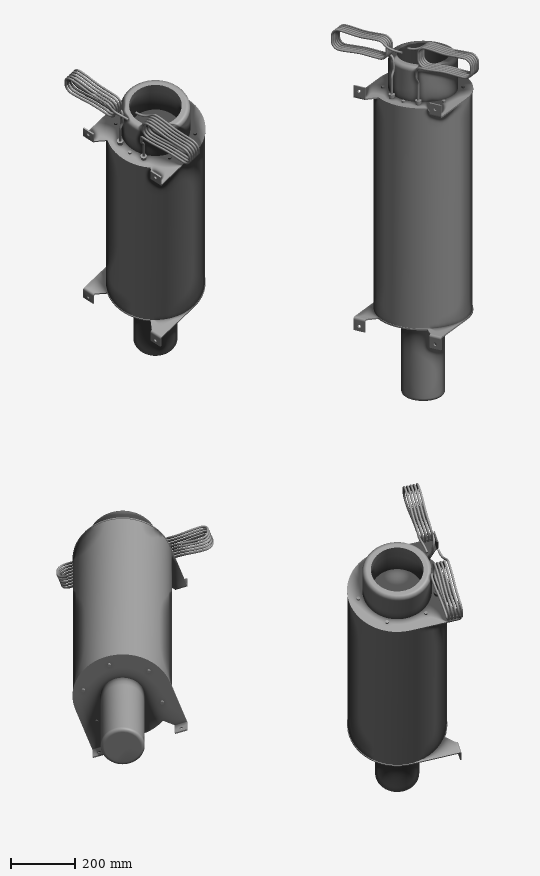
import cadquery as cq
import math

TOTAL_HEIGHT = 1253.0

SHELL_DIAMETER = 310.0
SHELL_BOTTOM = 291.0
SHELL_TOP = 1041.0
TAIL_DIAMETER = 138.0
TAIL_FILLET = 11.0
COLLAR_DIAMETER = 218.0
COLLAR_BORE = 164.0
COLLAR_TOP = 1163.0
COLLAR_FILLET = 14.0

PLATE_WIDTH = 313.0
PLATE_THICKNESS = 5.0
TAB_WIDTH = 41.0
TAB_HEIGHT = 44.0
TAB_FRONT = -165.0
TAB_HOLE = 11.0
TAB_HOLE_HEIGHT = 28.0
BEND_RADIUS = 8.0

SCREW_DIAMETER = 11.0
SCREW_HEIGHT = 6.0
SCREW_CIRCLE_DIAMETER = 251.0
SCREW_COUNT = 6

GLAND_DIAMETER = 20.0
GLAND_NECK = 18.0
GLAND_HEIGHT = 14.0
GLAND_HEAD = 8.0
GLAND_X = 48.0
GLAND_Y = -115.0

CABLE_DIAMETER = 8.0
COIL_END_X = 251.0
COIL_INNER_X = 54.0
COIL_HEIGHT = 66.0
COIL_RADIUS = 25.0
COIL_BOW = 4.0
COIL_PITCH = 10.7
COIL_START_Y = -93.0
COIL_FULL_TURNS = 4
JOG_BOTTOM = 1113.0
JOG_TOP = 1145.0
JOG_REACH = 13.0
SAG_DEPTH = 30.0
SHOULDER_X = 55.0
SHOULDER_DEPTH = 11.0
SAG_Y = -134.0

plate_top = SHELL_TOP + PLATE_THICKNESS
gland_top = plate_top + GLAND_HEIGHT


def cylinder(diameter, bottom, top):
    return cq.Workplane("XY").workplane(offset=bottom).circle(diameter / 2).extrude(top - bottom)


def mounting_tab():
    """Right-hand tab, bent up from the front edge of the upper plate and drilled."""
    bend_y = TAB_FRONT + BEND_RADIUS
    inner_radius = BEND_RADIUS - PLATE_THICKNESS
    bend_z = SHELL_TOP + BEND_RADIUS
    tab_top = SHELL_TOP + TAB_HEIGHT
    diagonal = math.sqrt(0.5)
    tab = (
        cq.Workplane("YZ", origin=(PLATE_WIDTH / 2 - TAB_WIDTH, 0, 0))
        .moveTo(bend_y, SHELL_TOP)
        .threePointArc(
            (bend_y - BEND_RADIUS * diagonal, bend_z - BEND_RADIUS * diagonal),
            (TAB_FRONT, bend_z),
        )
        .lineTo(TAB_FRONT, tab_top)
        .lineTo(TAB_FRONT + PLATE_THICKNESS, tab_top)
        .lineTo(TAB_FRONT + PLATE_THICKNESS, bend_z)
        .threePointArc(
            (bend_y - inner_radius * diagonal, bend_z - inner_radius * diagonal),
            (bend_y, plate_top),
        )
        .close()
        .extrude(TAB_WIDTH)
    )
    hole = (
        cq.Workplane("XZ", origin=((PLATE_WIDTH - TAB_WIDTH) / 2, 0, SHELL_TOP + TAB_HOLE_HEIGHT))
        .circle(TAB_HOLE / 2)
        .extrude(-TAB_FRONT)
    )
    return tab.cut(hole)


def plate_wing():
    """Flat right-hand part of the upper plate: a straight side and a 45 degree front edge."""
    side_x = PLATE_WIDTH / 2
    bend_y = TAB_FRONT + BEND_RADIUS
    tab_inner_x = side_x - TAB_WIDTH
    return (
        cq.Workplane("XY", origin=(0, 0, SHELL_TOP))
        .moveTo(0, 0)
        .lineTo(side_x, 0)
        .lineTo(side_x, bend_y)
        .lineTo(tab_inner_x, bend_y)
        .lineTo(0, bend_y + tab_inner_x)
        .close()
        .extrude(PLATE_THICKNESS)
    )


def upper_plate():
    """Round end plate with two mounting tabs and a ring of screw heads."""
    wing = plate_wing().union(mounting_tab())
    plate = cylinder(PLATE_WIDTH, SHELL_TOP, plate_top).union(wing).union(wing.mirror("YZ"))
    screws = (
        cq.Workplane("XY", origin=(0, 0, plate_top))
        .polarArray(SCREW_CIRCLE_DIAMETER / 2, 90, 360, SCREW_COUNT)
        .circle(SCREW_DIAMETER / 2)
        .extrude(SCREW_HEIGHT)
    )
    return plate.union(screws)


def gland():
    """Right-hand cable gland: a neck under a wider round head."""
    head_bottom = gland_top - GLAND_HEAD
    neck = cylinder(GLAND_NECK, plate_top, head_bottom)
    head = cylinder(GLAND_DIAMETER, head_bottom, gland_top)
    return neck.union(head).translate((GLAND_X, GLAND_Y, 0))


def make_housing():
    """Shell with its end plates, tail pipe, bored collar and cable glands."""
    shell = cylinder(SHELL_DIAMETER, SHELL_BOTTOM, SHELL_TOP)
    tail = cylinder(TAIL_DIAMETER, 0, SHELL_BOTTOM).faces("<Z").edges().fillet(TAIL_FILLET)
    collar = cylinder(COLLAR_DIAMETER, SHELL_TOP, COLLAR_TOP).faces(">Z").edges().fillet(COLLAR_FILLET)
    bore = cylinder(COLLAR_BORE, SHELL_TOP, COLLAR_TOP)
    plate = upper_plate()
    mid_height = (SHELL_BOTTOM + SHELL_TOP) / 2
    lower_plate = plate.mirror("XY", (0, 0, mid_height))
    right_gland = gland()
    return (
        shell.union(plate)
        .union(lower_plate)
        .union(tail)
        .union(collar)
        .cut(bore)
        .union(right_gland)
        .union(right_gland.mirror("YZ"))
    )


def cable_path():
    """Centre line of the left cable: riser, jog, flat coil and a sagging free end."""
    up = cq.Vector(0, 0, 1)
    left = cq.Vector(-1, 0, 0)
    right = cq.Vector(1, 0, 0)
    outer_x = -COIL_END_X + CABLE_DIAMETER / 2
    outer_bend_x = outer_x + COIL_RADIUS
    inner_bend_x = -COIL_INNER_X - COIL_RADIUS
    top = TOTAL_HEIGHT - CABLE_DIAMETER / 2
    bottom = top - COIL_HEIGHT
    half_pitch = COIL_PITCH / 2
    diagonal = COIL_RADIUS * math.sqrt(0.5)

    def curve(points, start_direction, end_direction):
        vectors = [cq.Vector(*point) for point in points]
        return cq.Edge.makeSpline(vectors, tangents=[start_direction, end_direction])

    def coil_side(start, end, bow, direction):
        """Long side of the coil, moved half a pitch sideways and bowed by a height at its middle."""
        middle = tuple((a + b) / 2 for a, b in zip(start, end))
        return curve([start, (middle[0], middle[1], middle[2] + bow), end], direction, direction)

    def coil_end(bend_x, y, outward, start_z, end_z):
        """Two quarter bends and the short upright between them, from start_z to end_z."""
        rise = math.copysign(1, end_z - start_z)
        edge_x = bend_x + outward * COIL_RADIUS
        first_z = start_z + rise * COIL_RADIUS
        last_z = end_z - rise * COIL_RADIUS
        middle_x = bend_x + outward * diagonal
        upright_start = cq.Vector(edge_x, y, first_z)
        upright_end = cq.Vector(edge_x, y, last_z)
        return [
            cq.Edge.makeThreePointArc(
                cq.Vector(bend_x, y, start_z),
                cq.Vector(middle_x, y, first_z - rise * diagonal),
                upright_start,
            ),
            cq.Edge.makeLine(upright_start, upright_end),
            cq.Edge.makeThreePointArc(
                upright_end,
                cq.Vector(middle_x, y, last_z + rise * diagonal),
                cq.Vector(bend_x, y, end_z),
            ),
        ]

    y = COIL_START_Y
    riser_bottom = (-GLAND_X, GLAND_Y, gland_top)
    riser_top = (-GLAND_X, GLAND_Y, JOG_BOTTOM)
    jog_end = (-GLAND_X, GLAND_Y + JOG_REACH, JOG_TOP)
    edges = [
        cq.Edge.makeLine(cq.Vector(*riser_bottom), cq.Vector(*riser_top)),
        curve([riser_top, jog_end], up, up),
        curve([jog_end, (inner_bend_x, y, bottom)], up, left),
    ]
    for turn in range(COIL_FULL_TURNS + 1):
        outer_y = y - half_pitch
        next_y = y - COIL_PITCH
        edges.append(coil_side((inner_bend_x, y, bottom), (outer_bend_x, outer_y, bottom), COIL_BOW, left))
        edges += coil_end(outer_bend_x, outer_y, -1, bottom, top)
        edges.append(coil_side((outer_bend_x, outer_y, top), (inner_bend_x, next_y, top), -COIL_BOW, right))
        if turn < COIL_FULL_TURNS:
            edges += coil_end(inner_bend_x, next_y, 1, top, bottom)
        y = next_y
    coil_exit = (inner_bend_x, y, top)
    shoulder = (-SHOULDER_X, y, top - SHOULDER_DEPTH)
    free_end = (0, SAG_Y, top - SAG_DEPTH)
    edges.append(curve([coil_exit, shoulder, free_end], right, right))
    return cq.Wire.assembleEdges(edges)


def make_cable():
    """Left cable, a round wire standing on its gland."""
    return (
        cq.Workplane("XY", origin=(-GLAND_X, GLAND_Y, gland_top))
        .circle(CABLE_DIAMETER / 2)
        .sweep(cq.Workplane(obj=cable_path()))
    )


housing = make_housing()

left_cable = make_cable()
cables = [
    left_cable.rotate((0, GLAND_Y, 0), (0, GLAND_Y, 1), angle).val()
    for angle in (0, 180)
]

result = cq.Compound.makeCompound([housing.val(), *cables])